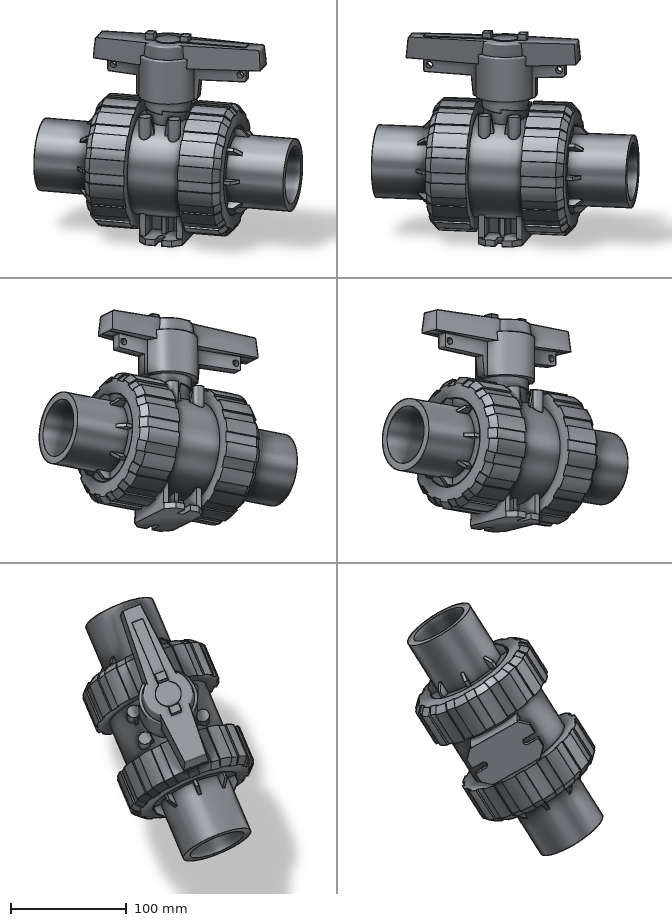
import cadquery as cq
import math

overall_length = 223.5
bore_radius = 25.0

pipe_radius = 31.5
collar_radius = 38.5
collar_face_x = 60.3
flange_outer_x = 47.0
pipe_rib_count = 8
pipe_rib_width = 3.1
pipe_rib_radius = 38.0
pipe_rib_length = 12.3

nut_inner_x = 24.1
nut_outer_x = 60.5
nut_radius = 57.5
nut_groove_depth = 1.8
nut_groove_count = 16
nut_groove_width = 9.4
nut_chamfer = 5.5
nut_opening_radius = 39.1

barrel_radius = 45.1
barrel_half_length = 40.2
neck_radius = 18.8
stem_radius = 20.1
stem_top_z = 83.5
tooth_bottom_z = 51.0
tooth_top_z = 54.5
tooth_count = 4

post_radius = 5.5
post_x = 13.0
post_y = 27.0
post_top_z = 50.7
gusset_reach = 2.5
inner_gusset_width = 3.1
neck_gusset_width = 7.2

foot_bottom_z = -64.1
foot_thickness = 5.4
foot_half_x = 19.2
foot_half_y = 31.5
foot_chamfer = 7.5
foot_web_thickness = 5.1
foot_cross_web_thickness = 3.8
foot_web_half_y = 23.2
foot_rib_thickness = 3.8
foot_rib_half_y = 13.5
foot_boss_radius = 5.8
foot_slot_radius = 3.0
foot_slot_center_y = 21.2

hub_radius = 25.5
hub_bottom_z = 62.5
hub_shoulder_z = 101.5
hub_shoulder_fillet = 2.0
cap_base_radius = 22.8
cap_top_radius = 21.2
cap_fillet = 1.8
grip_top_z = 112.9
grip_end_bottom_z = 94.8
grip_root_bottom_z = 93.0
grip_root_x = 22.4
grip_left_x = -64.0
grip_right_x = 85.2
grip_end_draft = 1.3
grip_half_width = 16.5
grip_taper = 0.073
grip_side_draft = 2.12
grip_end_fillet = 1.5
grip_end_lip_top_z = 96.8
lever_slot_width = 11.6
lever_plate_width = 9.2
lever_left_x = -53.0
lever_right_x = 70.8
lever_tip_z = 82.0
lever_root_z = 80.5
lever_skirt_left_x = -27.3
lever_skirt_right_x = 29.0
lever_skirt_draft = 1.8
lever_fillet = 1.8
lever_hole_radius = 3.0
lever_hole_z = 88.0
lever_hole_inset = 5.0
top_pad_height = 1.0
top_disc_radius = 11.2
top_strip_width = 10.0
stop_tab_top_z = 118.5
stop_tab_width = 9.4
stop_tab_outer_x = 19.2
stop_tab_top_inner_x = 12.3
stop_tab_base_inner_x = 11.2


def cylinder_along_x(radius, x_start, x_end):
    return cq.Workplane("YZ").workplane(offset=x_start).circle(radius).extrude(x_end - x_start)


def cylinder_along_z(radius, z_start, z_end):
    return cq.Workplane("XY").workplane(offset=z_start).circle(radius).extrude(z_end - z_start)


def block(x_start, x_end, half_y, z_start, z_end):
    height = z_end - z_start
    footprint = cq.Workplane("XY").workplane(offset=z_start).center((x_start + x_end) / 2, 0)
    return footprint.rect(x_end - x_start, 2 * half_y).extrude(height)


def plate_in_xz(points, thickness):
    return cq.Workplane("XZ").polyline(points).close().extrude(thickness / 2, both=True)


def mirrored_pair(right_body):
    return [right_body, right_body.mirror("YZ")]


def make_pipe_rib(angle):
    tip_x = collar_face_x + pipe_rib_length
    chamfer = pipe_rib_radius - pipe_radius
    root_radius = (pipe_radius + bore_radius) / 2
    rib = plate_in_xz(
        [
            (flange_outer_x, root_radius),
            (tip_x, root_radius),
            (tip_x, pipe_radius),
            (tip_x - chamfer, pipe_rib_radius),
            (flange_outer_x, pipe_rib_radius),
        ],
        pipe_rib_width,
    )
    return rib.rotate((0, 0, 0), (1, 0, 0), angle)


def make_pipe_end():
    pipe = cylinder_along_x(pipe_radius, barrel_half_length, overall_length / 2)
    pipe = pipe.union(cylinder_along_x(collar_radius, barrel_half_length, collar_face_x))
    pipe = pipe.union(cylinder_along_x(barrel_radius, barrel_half_length, flange_outer_x))
    for i in range(pipe_rib_count):
        pipe = pipe.union(make_pipe_rib(i * 360 / pipe_rib_count))
    return pipe.cut(cylinder_along_x(bore_radius, barrel_half_length, overall_length / 2))


def chamfered_disc(radius):
    return cylinder_along_x(radius, nut_inner_x, nut_outer_x).faces(">X").chamfer(nut_chamfer)


def make_nut():
    ridges = chamfered_disc(nut_radius)
    for i in range(nut_groove_count):
        groove = block(nut_inner_x, nut_outer_x, nut_groove_width / 2, nut_opening_radius, nut_radius + 2.2)
        ridges = ridges.cut(groove.rotate((0, 0, 0), (1, 0, 0), i * 360 / nut_groove_count))
    nut = chamfered_disc(nut_radius - nut_groove_depth).union(ridges)
    nut = nut.cut(cylinder_along_x(barrel_radius, nut_inner_x, flange_outer_x))
    return nut.cut(cylinder_along_x(nut_opening_radius, flange_outer_x, nut_outer_x))


def make_stop_tooth(index):
    """Quarter of the stem's lower rim, its underside falling from one end to the other."""
    half_span = stem_radius / math.sqrt(2)
    wedge = plate_in_xz(
        [
            (-half_span, tooth_top_z),
            (half_span, tooth_bottom_z),
            (stem_radius, tooth_bottom_z),
            (stem_radius, hub_bottom_z),
            (-half_span, hub_bottom_z),
        ],
        2 * stem_radius,
    )
    quarter = (
        cq.Workplane("XY")
        .workplane(offset=tooth_bottom_z)
        .lineTo(-half_span, -half_span)
        .threePointArc((0, -stem_radius), (half_span, -half_span))
        .close()
        .extrude(hub_bottom_z - tooth_bottom_z)
    )
    angle = (index + 0.5) * 360 / tooth_count
    return quarter.intersect(wedge).rotate((0, 0, 0), (0, 0, 1), angle)


def make_stem():
    stem = cylinder_along_z(neck_radius, 0, hub_bottom_z)
    stem = stem.union(cylinder_along_z(stem_radius, hub_bottom_z, stem_top_z))
    for i in range(tooth_count):
        stem = stem.union(make_stop_tooth(i))
    return stem


def make_gusset(width):
    """Triangular rib against a post, widest at the bottom, pointing to +X."""
    return plate_in_xz(
        [
            (0, 0),
            (post_radius + gusset_reach, 0),
            (post_radius + gusset_reach, math.sqrt(barrel_radius**2 - post_y**2)),
            (post_radius, post_top_z),
            (0, post_top_z),
        ],
        width,
    )


def make_post(x_side, y_side):
    post = cylinder_along_z(post_radius, 0, post_top_z)
    for angle, width in ((180, inner_gusset_width), (270, neck_gusset_width)):
        post = post.union(make_gusset(width).rotate((0, 0, 0), (0, 0, 1), angle))
    if x_side < 0:
        post = post.mirror("YZ")
    if y_side < 0:
        post = post.mirror("XZ")
    return post.translate((x_side * post_x, y_side * post_y, 0))


def make_foot():
    plate_top_z = foot_bottom_z + foot_thickness
    foot = block(-foot_half_x, foot_half_x, foot_half_y, foot_bottom_z, plate_top_z)
    foot = foot.edges("|Z").chamfer(foot_chamfer)
    for y_side in (-1, 1):
        slot = block(-foot_slot_radius, foot_slot_radius, foot_half_y, foot_bottom_z, plate_top_z)
        slot = slot.translate((0, y_side * (foot_half_y + foot_slot_center_y), 0))
        slot_end = cylinder_along_z(foot_slot_radius, foot_bottom_z, plate_top_z)
        foot = foot.cut(slot).cut(slot_end.translate((0, y_side * foot_slot_center_y, 0)))
    for web_start in (-foot_half_x, foot_half_x - foot_web_thickness):
        web_end = web_start + foot_web_thickness
        foot = foot.union(block(web_start, web_end, foot_web_half_y, foot_bottom_z, 0))
    half_rib = foot_rib_thickness / 2
    foot = foot.union(block(-half_rib, half_rib, foot_rib_half_y, foot_bottom_z, 0))
    foot = foot.union(block(-foot_half_x, foot_half_x, foot_cross_web_thickness / 2, foot_bottom_z, 0))
    return foot.union(cylinder_along_z(foot_boss_radius, foot_bottom_z, 0))


def make_housing():
    housing = cylinder_along_x(barrel_radius, -barrel_half_length, barrel_half_length)
    housing = housing.union(make_stem())
    for x_side in (-1, 1):
        for y_side in (-1, 1):
            housing = housing.union(make_post(x_side, y_side))
    housing = housing.union(make_foot())
    return housing.cut(cylinder_along_x(bore_radius, -barrel_half_length, barrel_half_length))


def make_hub():
    hub = cylinder_along_z(hub_radius, hub_bottom_z, hub_shoulder_z)
    hub = hub.faces(">Z").edges().fillet(hub_shoulder_fillet)
    cap = (
        cq.Workplane("XY")
        .workplane(offset=hub_shoulder_z)
        .circle(cap_base_radius)
        .workplane(offset=grip_top_z - hub_shoulder_z)
        .circle(cap_top_radius)
        .loft()
    )
    return hub.union(cap.faces(">Z").edges().fillet(cap_fillet))


def grip_outline(center_half_width, end_inset):
    left_x = grip_left_x + end_inset
    right_x = grip_right_x - end_inset
    left_half = center_half_width + grip_taper * left_x
    right_half = center_half_width - grip_taper * right_x
    return [
        (left_x, -left_half),
        (0, -center_half_width),
        (right_x, -right_half),
        (right_x, right_half),
        (0, center_half_width),
        (left_x, left_half),
    ]


def make_grip():
    """Tapered bar with drafted sides; its drafted tips end in a short vertical lip at the bottom."""
    end_slope = grip_end_draft / (grip_top_z - grip_end_lip_top_z)
    root_overhang = end_slope * (grip_end_lip_top_z - grip_root_bottom_z)
    grip = (
        cq.Workplane("XY")
        .workplane(offset=grip_root_bottom_z)
        .polyline(grip_outline(grip_half_width, -root_overhang))
        .close()
        .workplane(offset=grip_top_z - grip_root_bottom_z)
        .polyline(grip_outline(grip_half_width - grip_side_draft, grip_end_draft))
        .close()
        .loft(ruled=True)
    )
    grip = grip.intersect(block(grip_left_x, grip_right_x, grip_half_width, grip_root_bottom_z, grip_top_z))
    for end in ("<X", ">X"):
        grip = grip.faces(">Z").edges(end).fillet(grip_end_fillet)
    for end_x, root_x in ((grip_left_x, -grip_root_x), (grip_right_x, grip_root_x)):
        sloped_underside = plate_in_xz(
            [
                (root_x, grip_root_bottom_z),
                (end_x, grip_end_bottom_z),
                (end_x, grip_root_bottom_z),
            ],
            2 * grip_half_width,
        )
        grip = grip.cut(sloped_underside)
    return grip


def make_lever_plate():
    plate = plate_in_xz(
        [
            (lever_left_x, grip_end_bottom_z),
            (lever_left_x, lever_tip_z),
            (lever_skirt_left_x, lever_root_z),
            (lever_skirt_left_x, hub_bottom_z),
            (lever_skirt_right_x - lever_skirt_draft, hub_bottom_z),
            (lever_skirt_right_x, lever_root_z),
            (lever_right_x, lever_tip_z),
            (lever_right_x, grip_end_bottom_z),
        ],
        lever_plate_width,
    )
    lower_corners = cq.selectors.BoxSelector(
        (lever_left_x - 2.2, -lever_plate_width, lever_tip_z - 0.2),
        (lever_right_x + 2.2, lever_plate_width, lever_tip_z + 0.2),
    )
    plate = plate.edges("|Y").edges(lower_corners).fillet(lever_fillet)
    plate = plate.faces("<Z").edges("|Y").fillet(lever_fillet)
    hole_places = [
        (lever_left_x + lever_hole_inset, lever_hole_z),
        (lever_right_x - lever_hole_inset, lever_hole_z),
    ]
    holes = cq.Workplane("XZ").pushPoints(hole_places).circle(lever_hole_radius)
    return plate.cut(holes.extrude(lever_plate_width, both=True))


def make_stop_tab():
    return plate_in_xz(
        [
            (stop_tab_base_inner_x, grip_top_z),
            (stop_tab_outer_x, grip_top_z),
            (stop_tab_outer_x, stop_tab_top_z),
            (stop_tab_top_inner_x, stop_tab_top_z),
        ],
        stop_tab_width,
    )


def make_handle():
    handle = make_hub().union(make_grip())
    half_slot = lever_slot_width / 2
    handle = handle.cut(block(grip_left_x, grip_right_x, half_slot, hub_bottom_z, grip_end_bottom_z))
    handle = handle.union(make_lever_plate())
    handle = handle.cut(cylinder_along_z(stem_radius, hub_bottom_z, stem_top_z))
    pad_top_z = grip_top_z + top_pad_height
    handle = handle.union(cylinder_along_z(top_disc_radius, grip_top_z, pad_top_z))
    handle = handle.union(block(0, lever_right_x, top_strip_width / 2, grip_top_z, pad_top_z))
    for stop_tab in mirrored_pair(make_stop_tab()):
        handle = handle.union(stop_tab)
    return handle


housing = make_housing()
handle = make_handle()
nuts = mirrored_pair(make_nut())
pipe_ends = mirrored_pair(make_pipe_end())

result = cq.Compound.makeCompound(
    [housing.val(), handle.val(), *[nut.val() for nut in nuts], *[pipe.val() for pipe in pipe_ends]]
)